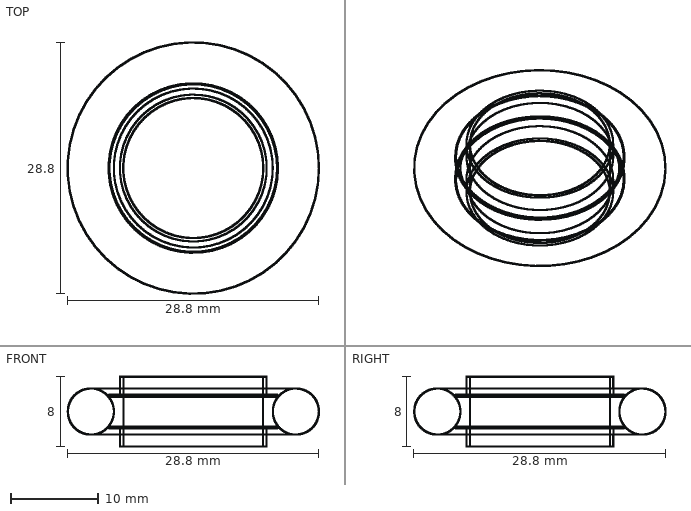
import cadquery as cq

outer_radius = 14.4
section_radius = 2.65
section_centre_radius = outer_radius - section_radius

carrier_height = 8.0
bore_radius = 8.0
sleeve_radius = 8.4
flange_radius = 9.7
flange_thickness = 3.9
flange_edge_chamfer = 0.12


def make_sealing_ring():
    """Round-section ring, centred on the origin with its axis along Z."""
    return (
        cq.Workplane("XZ")
        .center(section_centre_radius, 0)
        .circle(section_radius)
        .revolve(360, (-section_centre_radius, 0), (-section_centre_radius, 1))
    )


def make_disc(radius, height):
    """Plain disc centred on the origin."""
    return cq.Workplane("XY").cylinder(height, radius)


def make_carrier(seat):
    """Flanged sleeve with chamfered flange edges and a rim hollowed to fit the sealing ring."""
    sleeve = make_disc(sleeve_radius, carrier_height)
    flange = make_disc(flange_radius, flange_thickness).edges().chamfer(flange_edge_chamfer)
    bore = make_disc(bore_radius, carrier_height)
    return sleeve.union(flange).cut(bore).cut(seat)


sealing_ring = make_sealing_ring()
carrier = make_carrier(sealing_ring)

result = cq.Compound.makeCompound([carrier.val(), sealing_ring.val()])